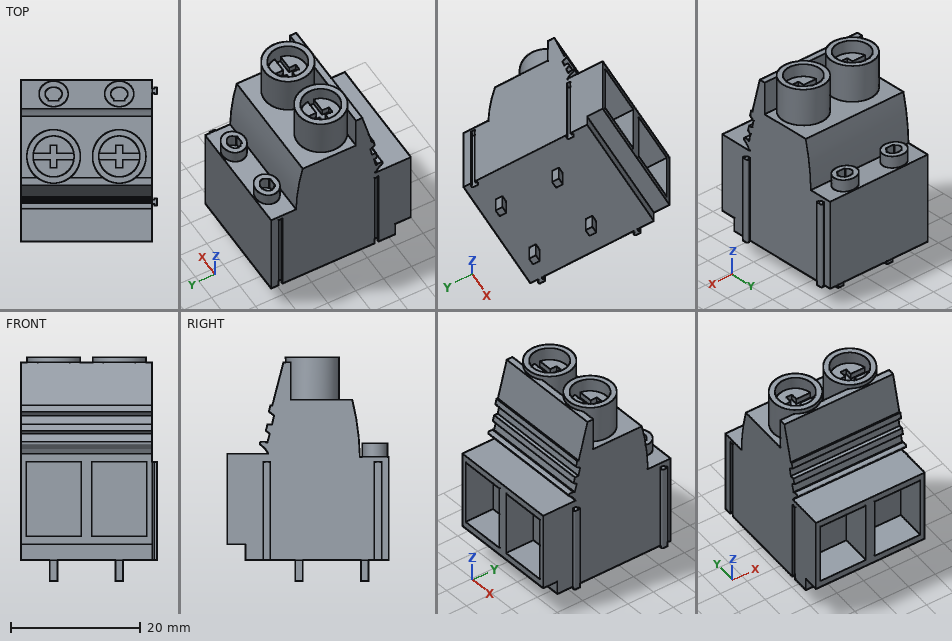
import cadquery as cq

POLE_COUNT = 2
POLE_PITCH = 10.15
WIDTH = POLE_COUNT * POLE_PITCH
DEPTH = 25.05
POLE_CENTRES = [(pole + 0.5) * POLE_PITCH for pole in range(POLE_COUNT)]

TOE_DEPTH = 2.8
TOE_HEIGHT = 2.43
FRONT_TOP = 16.48
HOOK_ROOT_Y = 6.4
HOOK_BEND = (5.85, 17.25)
HOOK_TIP = [(5.17, 17.87), (5.05, 18.1), (5.27, 18.35)]
HOOK_TOP = [(6.0, 18.35), (6.05, 18.22), (6.2, 18.2)]
LOWER_TOOTH = [(6.6, 19.6), (5.97, 20.02), (6.25, 21.03), (6.95, 21.03)]
UPPER_TOOTH = [(7.25, 22.38), (6.45, 23.0), (6.7, 24.0), (6.97, 23.95)]
WALL_TOP = 30.65
WALL_FRONT_Y = 8.7
WALL_BACK_Y = 9.85
DECK_TOP = 24.85
DECK_BACK_Y = 19.4
BACK_MIDDLE = (20.23, 20.5)
BACK_FOOT_Y = 20.58
BACK_TOP = 16.0

POCKET_WIDTH = 8.5
POCKET_BOTTOM = 3.7
POCKET_TOP = 15.25
POCKET_DEPTH = 5.38

SCREW_Y = 13.2
SLEEVE_DIAMETER = 8.3
SLEEVE_BORE = 6.35
SLEEVE_TOP = 31.45
SCREW_TOP = 29.2
SLOT_WIDTH = 1.05
CROSS_LENGTH = 3.5
SLOT_DEPTH = 1.05

SOCKET_Y = 22.85
SOCKET_LENGTH_X = 4.5
SOCKET_LENGTH_Y = 3.95
SOCKET_WALL = 0.95
SOCKET_TOP = 18.1
SOCKET_KEY_WIDTH = 1.65

RIB_POSITIONS = [6.15, 23.35]
RIB_TOP = POCKET_TOP
RIB_REACH = 0.8
RIB_NECK_REACH = 0.35
RIB_NECK_WIDTH = 0.7
RIB_HEAD_WIDTH = 1.15
RIB_HEAD_ROUNDING = 0.17

PIN_SIDE = 1.2
PIN_LENGTH = 3.25
PIN_FRONT_Y = 11.15
PIN_ROWS = [PIN_FRONT_Y, PIN_FRONT_Y + POLE_PITCH]


def block(x_start, x_end, y_start, y_end, z_start, z_end):
    """Box given by its limits along each axis."""
    size = (x_end - x_start, y_end - y_start, z_end - z_start)
    return cq.Workplane("XY").box(*size, centered=False).translate((x_start, y_start, z_start))


def upright(x, y, z):
    """Horizontal workplane centred on a point."""
    return cq.Workplane("XY", origin=(x, y, z))


def make_shell():
    """Side profile with two grip teeth and a hook on its front slope, extruded across all poles."""
    return (
        cq.Workplane("YZ")
        .moveTo(TOE_DEPTH, 0)
        .lineTo(TOE_DEPTH, TOE_HEIGHT)
        .lineTo(0, TOE_HEIGHT)
        .lineTo(0, FRONT_TOP)
        .lineTo(HOOK_ROOT_Y, FRONT_TOP)
        .lineTo(*HOOK_BEND)
        .lineTo(*HOOK_TIP[0])
        .threePointArc(HOOK_TIP[1], HOOK_TIP[2])
        .polyline(HOOK_TOP + LOWER_TOOTH + UPPER_TOOTH, includeCurrent=True)
        .lineTo(WALL_FRONT_Y, WALL_TOP)
        .lineTo(WALL_BACK_Y, WALL_TOP)
        .lineTo(WALL_BACK_Y, DECK_TOP)
        .lineTo(DECK_BACK_Y, DECK_TOP)
        .threePointArc(BACK_MIDDLE, (BACK_FOOT_Y, BACK_TOP))
        .lineTo(DEPTH, BACK_TOP)
        .lineTo(DEPTH, 0)
        .close()
        .extrude(WIDTH)
    )


def t_section(x, y):
    """Upright T-section bar that starts at X = x and reaches toward +X, with a rounded head outermost."""
    neck_end = x + RIB_NECK_REACH
    neck_half = RIB_NECK_WIDTH / 2
    head_half = RIB_HEAD_WIDTH / 2
    neck = block(x, neck_end, y - neck_half, y + neck_half, 0, RIB_TOP)
    head = block(neck_end, x + RIB_REACH, y - head_half, y + head_half, 0, RIB_TOP)
    head = head.edges("|Z and >X").fillet(RIB_HEAD_ROUNDING)
    return neck.union(head)


def wire_pocket(x):
    """Rectangular wire entry open to the front."""
    half_width = POCKET_WIDTH / 2
    return block(x - half_width, x + half_width, 0, POCKET_DEPTH, POCKET_BOTTOM, POCKET_TOP)


def socket_cavity(x):
    """Oval cavity of a test socket with a square-cornered key on its front side."""
    half_x = SOCKET_LENGTH_X / 2 - SOCKET_WALL
    half_y = SOCKET_LENGTH_Y / 2 - SOCKET_WALL
    half_key = SOCKET_KEY_WIDTH / 2
    oval = upright(x, SOCKET_Y, BACK_TOP).ellipse(half_x, half_y).extrude(SOCKET_TOP - BACK_TOP)
    key = block(x - half_key, x + half_key, SOCKET_Y - half_y, SOCKET_Y, BACK_TOP, SOCKET_TOP)
    return oval.union(key)


def make_housing():
    """Insulating housing with sleeves, sockets, pockets, ribs and grooves."""
    body = make_shell()
    for x in POLE_CENTRES:
        sleeve = upright(x, SCREW_Y, DECK_TOP).circle(SLEEVE_DIAMETER / 2).extrude(SLEEVE_TOP - DECK_TOP)
        bore = upright(x, SCREW_Y, DECK_TOP).circle(SLEEVE_BORE / 2).extrude(SLEEVE_TOP - DECK_TOP)
        socket = (
            upright(x, SOCKET_Y, BACK_TOP)
            .ellipse(SOCKET_LENGTH_X / 2, SOCKET_LENGTH_Y / 2)
            .extrude(SOCKET_TOP - BACK_TOP)
        )
        body = body.union(sleeve).union(socket)
        body = body.cut(bore).cut(socket_cavity(x)).cut(wire_pocket(x))
    for y in RIB_POSITIONS:
        body = body.union(t_section(WIDTH, y)).cut(t_section(0, y))
    return body


def make_screw(x):
    """Screw head filling the lower part of a sleeve bore, with a through slot and a short cross slot."""
    head = upright(x, SCREW_Y, DECK_TOP).circle(SLEEVE_BORE / 2).extrude(SCREW_TOP - DECK_TOP)
    slot = upright(x, SCREW_Y, SCREW_TOP).rect(SLEEVE_BORE, SLOT_WIDTH).extrude(-SLOT_DEPTH)
    cross = upright(x, SCREW_Y, SCREW_TOP).rect(SLOT_WIDTH, CROSS_LENGTH).extrude(-SLOT_DEPTH)
    return head.cut(slot).cut(cross)


def make_pin(x, y):
    """Square solder pin hanging from the underside."""
    return upright(x, y, 0).rect(PIN_SIDE, PIN_SIDE).extrude(-PIN_LENGTH)


housing = make_housing()
screws = [make_screw(x).val() for x in POLE_CENTRES]
pins = [make_pin(x, y).val() for x in POLE_CENTRES for y in PIN_ROWS]

result = cq.Compound.makeCompound([housing.solids().val(), *screws, *pins])